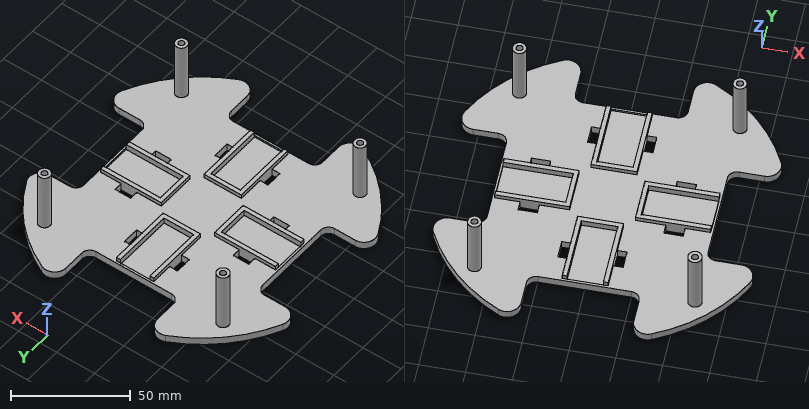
import cadquery as cq
import math

overall_size = 136.3
overall_height = 34.0
plate_thickness = 4.0
notch_width = 48.0
core_width = 94.3
inner_fillet = 4.1
tip_fillet = 6.0

tip_center_across = notch_width / 2 + tip_fillet
tip_center_along = overall_size / 2 - tip_fillet
rim_radius = math.hypot(tip_center_across, tip_center_along) + tip_fillet

post_diameter = 6.0
post_bore = 2.9
post_spacing = 94.0

tray_width = 19.6
tray_wall = 2.0
tray_inner_end = 14.0
tray_outer_end = 46.0
tray_wall_height = 2.0
tray_recess = 1.0

slot_length = 8.2
slot_width = 4.1
slot_center = 31.0

side_angles = [0, 90, 180, 270]


def box(x_min, x_max, width, z_min, z_max, y_center=0.0):
    """Box spanning the given X and Z ranges, centred on y_center."""
    return (
        cq.Workplane("XY", origin=((x_min + x_max) / 2, y_center, z_min))
        .rect(x_max - x_min, width)
        .extrude(z_max - z_min)
    )


def at_each_side(shape):
    """Four copies of a shape made for the +X side, one for each side."""
    copies = cq.Workplane("XY")
    for angle in side_angles:
        copies = copies.add(shape.rotate((0, 0, 0), (0, 0, 1), angle))
    return copies.combine()


def make_plate():
    disc = cq.Workplane("XY").circle(rim_radius).extrude(plate_thickness)
    notch = box(core_width / 2, rim_radius, notch_width, 0, plate_thickness)
    plate = disc.cut(at_each_side(notch))

    reach = core_width / 2 + inner_fillet
    core = cq.selectors.BoxSelector((-reach, -reach, 0), (reach, reach, plate_thickness))
    upright = plate.edges("|Z")
    tips = upright.edges(cq.selectors.SubtractSelector(cq.selectors.Selector(), core))
    plate = tips.fillet(tip_fillet)
    return plate.edges("|Z").edges(core).fillet(inner_fillet)


def make_posts():
    post_height = overall_height - plate_thickness
    return (
        cq.Workplane("XY", origin=(0, 0, plate_thickness))
        .rect(post_spacing, post_spacing, forConstruction=True)
        .vertices()
        .circle(post_diameter / 2)
        .circle(post_bore / 2)
        .extrude(post_height)
    )


tray_floor = plate_thickness - tray_recess
tray_top = plate_thickness + tray_wall_height

tray = box(tray_inner_end, tray_outer_end, tray_width, plate_thickness, tray_top)
tray_pocket = box(
    tray_inner_end + tray_wall,
    tray_outer_end,
    tray_width - 2 * tray_wall,
    tray_floor,
    tray_top,
)


def make_slot(side):
    """Slot through the plate against one long side of the +X tray."""
    return box(
        slot_center - slot_length / 2,
        slot_center + slot_length / 2,
        slot_width,
        0,
        plate_thickness,
        y_center=side * (tray_width + slot_width) / 2,
    )


result = (
    make_plate()
    .union(make_posts())
    .union(at_each_side(tray))
    .cut(at_each_side(tray_pocket))
    .cut(at_each_side(make_slot(1)))
    .cut(at_each_side(make_slot(-1)))
)